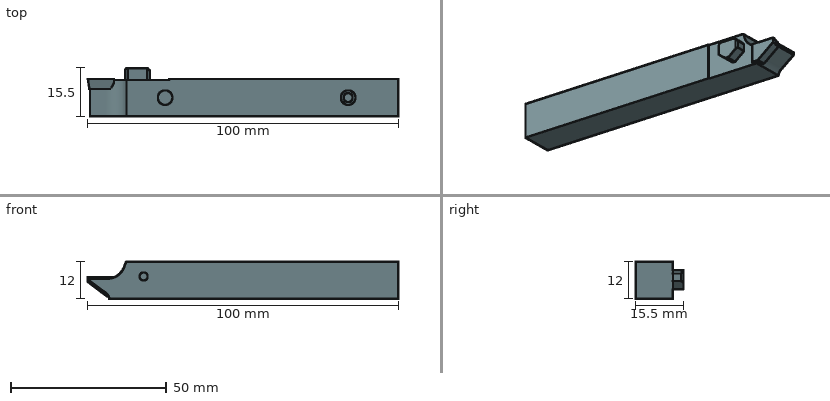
import cadquery as cq
import math

length = 100.0
width = 12.0
height = 12.0
relief_depth = 0.3
relief_end = 26.2

nose_x = 0.7
ledge_z = 6.4
ledge_end = 6.1
gullet_radius = 6.0
gullet_top_z = 11.0
shoulder_x = 12.4
nose_lower = (0.8, 5.6)
slope_end = (5.4, 2.2)
heel_mid = (6.4, 1.3)
heel_x = 6.9

insert_top_z = 7.1
insert_width = 3.3
insert_back_x = 8.5
insert_edge_z = 5.5
insert_foot = (6.2, 0.8)
insert_side_setback = 0.5
insert_side_drop = 0.6

stud_end_y = 15.5
stud_left = 12.0
stud_right = 20.1
stud_top = 9.2
stud_bottom = 3.0
stud_corner = 1.0
stud_waist_z = 5.8
stud_foot_inset = 3.6
stud_left_chamfer = 0.5
stud_right_chamfer = 0.9
stud_foot_chamfer = 0.3

mark_depth = 0.1
screw_diameter = 4.7
front_screw_x = 24.9
rear_screw_x = 83.8
socket_diameter = 2.9
pin_diameter = 2.6
pin_x = 18.0
pin_z = 7.2


def make_shank():
    """Square bar with a curved gullet and an undercut nose."""
    gullet_z = ledge_z + gullet_radius

    def gullet_point(angle):
        return (
            ledge_end + gullet_radius * math.sin(angle),
            gullet_z - gullet_radius * math.cos(angle),
        )

    gullet_angle = math.acos((gullet_z - gullet_top_z) / gullet_radius)
    bar = (
        cq.Workplane("XZ")
        .moveTo(heel_x, 0)
        .lineTo(length, 0)
        .lineTo(length, height)
        .lineTo(shoulder_x, height)
        .lineTo(*gullet_point(gullet_angle))
        .threePointArc(gullet_point(gullet_angle / 2), (ledge_end, ledge_z))
        .lineTo(nose_x, ledge_z)
        .lineTo(*nose_lower)
        .lineTo(*slope_end)
        .threePointArc(heel_mid, (heel_x, 0))
        .close()
        .extrude(-width)
    )
    relief = cq.Workplane("XY").box(relief_end, relief_depth, height, centered=False)
    return bar.cut(relief.translate((0, width - relief_depth, 0)))


def make_insert():
    """Blade whose front and top fall away from its outer +Y edge."""
    blade = (
        cq.Workplane("XZ", origin=(0, width, 0))
        .moveTo(0, insert_top_z)
        .lineTo(0, insert_edge_z)
        .lineTo(*insert_foot)
        .lineTo(insert_back_x, insert_foot[1])
        .lineTo(insert_back_x, insert_top_z)
        .close()
        .extrude(insert_width)
    )
    plan = (
        cq.Workplane("XY")
        .moveTo(0, width)
        .lineTo(insert_side_setback, width - insert_width)
        .lineTo(insert_back_x - insert_side_setback, width - insert_width)
        .lineTo(insert_back_x, width - insert_width / 2)
        .lineTo(insert_back_x, width)
        .close()
        .extrude(height)
    )
    section = (
        cq.Workplane("YZ")
        .moveTo(width, 0)
        .lineTo(width, insert_top_z)
        .lineTo(width - insert_width, insert_top_z - insert_side_drop)
        .lineTo(width - insert_width, 0)
        .close()
        .extrude(insert_back_x)
    )
    return blade.intersect(plan).intersect(section)


def make_stud():
    """Stud that narrows towards its foot, with bevelled sides at its free end."""
    base_y = width - 2 * relief_depth
    body = (
        cq.Workplane("XZ", origin=(0, base_y, 0))
        .moveTo(stud_left + stud_corner, stud_top)
        .lineTo(stud_right - stud_corner, stud_top)
        .lineTo(stud_right, stud_top - stud_corner)
        .lineTo(stud_right, stud_waist_z)
        .lineTo(stud_right - stud_foot_inset, stud_bottom)
        .lineTo(stud_left + stud_foot_inset, stud_bottom)
        .lineTo(stud_left, stud_waist_z)
        .lineTo(stud_left, stud_top - stud_corner)
        .close()
        .extrude(base_y - stud_end_y)
        .faces("<Z")
        .edges(">Y")
        .chamfer(stud_foot_chamfer)
    )
    plan = (
        cq.Workplane("XY")
        .moveTo(stud_left, base_y)
        .lineTo(stud_right, base_y)
        .lineTo(stud_right, stud_end_y - stud_right_chamfer)
        .lineTo(stud_right - stud_right_chamfer, stud_end_y)
        .lineTo(stud_left + stud_left_chamfer, stud_end_y)
        .lineTo(stud_left, stud_end_y - stud_left_chamfer)
        .close()
        .extrude(height)
    )
    return body.intersect(plan)


def top_recess(x, diameter, depth):
    recess = cq.Workplane("XY", origin=(x, width / 2, height - depth))
    return recess.circle(diameter / 2).extrude(depth)


pin_recess = cq.Workplane("XZ", origin=(pin_x, 0, pin_z)).circle(pin_diameter / 2).extrude(-mark_depth)

result = make_shank().union(make_insert()).union(make_stud())
for screw_x in (front_screw_x, rear_screw_x):
    result = result.cut(top_recess(screw_x, screw_diameter, mark_depth))
result = result.cut(top_recess(rear_screw_x, socket_diameter, 2 * mark_depth))
result = result.cut(pin_recess)